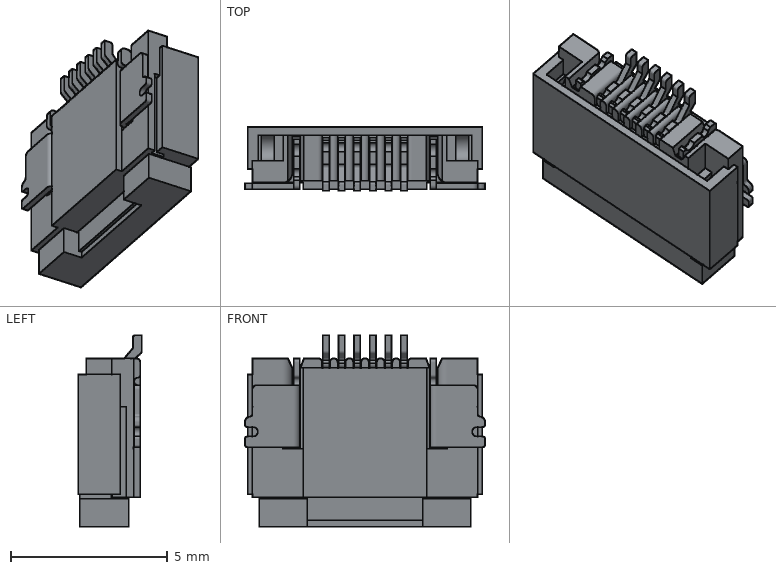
import cadquery as cq


COVER_HALF = 3.765
COVER_WALL = 0.345
COVER_FRONT = 0.65
COVER_BACK = 2.0
COVER_INNER_BACK = 1.74
COVER_BOTTOM = 1.045
COVER_TOP = 4.89
CAVITY_HALF = COVER_HALF - COVER_WALL

HOUSING_HALF = 3.61
HOUSING_FRONT = 0.215
HOUSING_BOTTOM = 0.947
HOUSING_TOP = 5.405
FLOOR_BACK = 0.905
PANEL_HALF = 1.985
PANEL_TOP = 5.10
PANEL_BACK = 0.285
BLOCK_HALF = 2.07
BLOCK_TOP_HALF = 1.96
GROOVE_TOP = 3.85
GROOVE_FRONT = 0.46

GAP_FLOOR = 2.506
GAP_OUTER = 2.33
GAP_TOP_OUTER = 2.47
GAP_BACK = 1.69
WING_ROUND = 0.31

POCKET_INNER = 2.625
POCKET_FRONT = 0.92
POCKET_FLOOR = 4.2
TROUGH_INNER = 2.91
TROUGH_OUTER = 3.32

FINGER_PEAK = 5.34
HUMP_TOP = 5.31
VALLEY = 5.17

PIN_COUNT = 6
PIN_PITCH = 0.5
PIN_WIDTH = 0.21
PIN_FRONT = -0.05
PIN_THICKNESS = 0.295
PIN_TOP = 6.15
PIN_BACK = 1.65
COMB_SLOT = 0.245
COMB_ROUND = (PIN_PITCH - COMB_SLOT) / 2
COMB_FLOOR = 4.9
PIN_TIP_ROUND = 0.09
PIN_HEEL_TOP = 5.26

LEG_FOOT = (0.63, 5.27)
LEG_FOOT_MIDDLE = (0.74, 5.22)
LEG_BACK_BEND = (PIN_FRONT + PIN_THICKNESS, 5.73)
LEG_FRONT_BEND = (PIN_FRONT, 5.64)
LEG_FRONT_MIDDLE = (-0.04, 5.6)
LEG_SLOPE_TOP = (-0.01, 5.56)
LEG_SLOPE_END = (0.13, 5.43)
NUB_HOLLOW = (0.175, 5.38)
NUB_TOP = (0.18, 5.335)
NUB_FRONT = (0.125, 5.24)
NUB_UNDERSIDE = (0.14, 5.15)
NUB_ROOT = (0.2, PANEL_TOP)

PIN_FINGER_BACK = 1.57
PIN_FINGER_FRONT = 1.49
PIN_VALLEY = 1.36
PIN_HUMP_BACK = 1.21
PIN_HUMP_FRONT = 0.81

CLIP_INNER = 2.09
CLIP_THICKNESS = 0.2
CLIP_OUTER = CLIP_INNER + CLIP_THICKNESS
CLIP_FOOT_FRONT = 0.35
CLIP_BACK = 1.6
TAB_BOTTOM = 2.552
TAB_TOP = 4.548
TAB_END = 3.85
TAB_CORNER = 0.15
PRONG_ROUND = 0.08
UPPER_PRONG_TOP = 3.53
UPPER_PRONG_ROUND = 0.17
SHOULDER_WIDTH = 0.1
SHOULDER_HEIGHT = 0.09
NOTCH_CENTER_Z = 3.05
NOTCH_RADIUS = 0.15
NOTCH_CENTER_X = 3.585
FINGER_ROUND = 0.135
RELIEF_HEIGHT = 0.33
RELIEF_TOP = TAB_TOP + RELIEF_HEIGHT
RELIEF_DEPTH = 0.2
RELIEF_ROUND = RELIEF_DEPTH / 2

CLIP_FINGER_FRONT = 1.45
CLIP_REAR_VALLEY = 1.3
CLIP_HUMP_BACK = 1.07
CLIP_HUMP_FRONT = 0.66
CLIP_FRONT_VALLEY = 0.56
CLIP_NOSE_FOOT = 0.40
CLIP_NOSE_BACK = 0.287

LUG_HALF = 3.395
LUG_INNER = 1.845
LUG_FRONT = 0.37
LUG_TOP = 0.905
BAR_BACK = 1.95
BAR_FRONT = 0.93
LIP_HEIGHT = 0.21
LIP_SETBACK = 0.1
NECK_HALF = 2.915


def box(x0, x1, y0, y1, z0, z1):
    return cq.Workplane("XY").box(x1 - x0, y1 - y0, z1 - z0, centered=False).translate((x0, y0, z0))


def centred_box(half, y0, y1, z0, z1):
    return box(-half, half, y0, y1, z0, z1)


def both_sides(shape):
    return shape.union(shape.mirror("YZ"))


def make_cover():
    shell = centred_box(COVER_HALF, COVER_FRONT, COVER_BACK, COVER_BOTTOM, COVER_TOP)
    return shell.cut(centred_box(CAVITY_HALF, COVER_FRONT, COVER_INNER_BACK, COVER_BOTTOM, COVER_TOP))


def clip_gap():
    """Space beside the middle block: round-edged plan, flaring open at the top."""
    step = BLOCK_HALF - PANEL_HALF
    plan = (
        cq.Workplane("XY")
        .moveTo(PANEL_HALF, 0)
        .lineTo(PANEL_HALF, PANEL_BACK - step)
        .radiusArc((BLOCK_HALF, PANEL_BACK), step)
        .lineTo(BLOCK_HALF, GAP_BACK)
        .lineTo(GAP_OUTER, GAP_BACK)
        .lineTo(GAP_OUTER, HOUSING_FRONT + WING_ROUND)
        .radiusArc((GAP_OUTER + WING_ROUND, HOUSING_FRONT), -WING_ROUND)
        .lineTo(GAP_OUTER + WING_ROUND, 0)
        .close()
        .extrude(HOUSING_TOP - GAP_FLOOR)
        .translate((0, 0, GAP_FLOOR))
    )
    flare = (
        cq.Workplane("XZ")
        .polyline([
            (BLOCK_HALF, PANEL_TOP),
            (GAP_OUTER, PANEL_TOP),
            (GAP_TOP_OUTER, HOUSING_TOP),
            (BLOCK_TOP_HALF, HOUSING_TOP),
        ])
        .close()
        .extrude(-COVER_INNER_BACK)
    )
    return plan.union(flare)


def side_pocket():
    pocket = box(POCKET_INNER, CAVITY_HALF, POCKET_FRONT, COVER_INNER_BACK, POCKET_FLOOR, HOUSING_TOP)
    radius = (COVER_INNER_BACK - POCKET_FRONT) / 2
    trough = (
        cq.Workplane("YZ")
        .center(POCKET_FRONT + radius, POCKET_FLOOR)
        .circle(radius)
        .extrude(TROUGH_OUTER - TROUGH_INNER)
        .translate((TROUGH_INNER, 0, 0))
    )
    return pocket.union(trough)


def pin_positions():
    first = -PIN_PITCH * (PIN_COUNT - 1) / 2
    return [first + i * PIN_PITCH for i in range(PIN_COUNT)]


def comb_slot():
    """Slot for one contact, with rounded tooth edges at its mouth."""
    half = COMB_SLOT / 2
    return (
        cq.Workplane("XZ")
        .moveTo(-half, COMB_FLOOR)
        .lineTo(half, COMB_FLOOR)
        .lineTo(half, HOUSING_TOP - COMB_ROUND)
        .radiusArc((half + COMB_ROUND, HOUSING_TOP), COMB_ROUND)
        .lineTo(-half - COMB_ROUND, HOUSING_TOP)
        .radiusArc((-half, HOUSING_TOP - COMB_ROUND), COMB_ROUND)
        .close()
        .extrude(-(COVER_INNER_BACK - PANEL_BACK))
        .translate((0, PANEL_BACK, 0))
    )


def make_housing():
    body = centred_box(HOUSING_HALF, HOUSING_FRONT, COVER_FRONT, HOUSING_BOTTOM, HOUSING_TOP)
    body = body.union(
        centred_box(CAVITY_HALF, COVER_FRONT, COVER_INNER_BACK, COVER_BOTTOM, COVER_TOP)
    )
    body = body.union(
        centred_box(CAVITY_HALF, COVER_FRONT, FLOOR_BACK, HOUSING_BOTTOM, COVER_BOTTOM)
    )
    body = body.union(
        centred_box(HOUSING_HALF, COVER_FRONT, COVER_INNER_BACK, COVER_TOP, HOUSING_TOP)
    )
    body = body.cut(both_sides(
        box(CAVITY_HALF, HOUSING_HALF, POCKET_FRONT, COVER_INNER_BACK, COVER_TOP, HOUSING_TOP)
    ))
    body = body.cut(centred_box(BLOCK_HALF, HOUSING_FRONT, PANEL_BACK, PANEL_TOP, HOUSING_TOP))
    body = body.union(centred_box(PANEL_HALF, 0, HOUSING_FRONT, HOUSING_BOTTOM, PANEL_TOP))
    body = body.cut(both_sides(clip_gap()))
    body = body.cut(both_sides(side_pocket()))
    body = body.cut(both_sides(
        box(CAVITY_HALF, HOUSING_HALF, GROOVE_FRONT, COVER_FRONT, HOUSING_BOTTOM, GROOVE_TOP)
    ))
    for x in pin_positions():
        body = body.cut(comb_slot().translate((x, 0, 0)))
    return body


def make_pin():
    """Contact blade: spring finger, middle hump, sloping leg and a small nub over the panel."""
    blade = (
        cq.Workplane("YZ")
        .moveTo(PIN_BACK, COMB_FLOOR)
        .lineTo(PIN_BACK, PIN_HEEL_TOP)
        .lineTo(PIN_FINGER_BACK, FINGER_PEAK)
        .lineTo(PIN_FINGER_FRONT, FINGER_PEAK)
        .threePointArc((PIN_VALLEY, VALLEY), (PIN_HUMP_BACK, HUMP_TOP))
        .lineTo(PIN_HUMP_FRONT, HUMP_TOP)
        .threePointArc(LEG_FOOT_MIDDLE, LEG_FOOT)
        .lineTo(*LEG_BACK_BEND)
        .lineTo(LEG_BACK_BEND[0], PIN_TOP)
        .lineTo(PIN_FRONT, PIN_TOP)
        .lineTo(*LEG_FRONT_BEND)
        .threePointArc(LEG_FRONT_MIDDLE, LEG_SLOPE_TOP)
        .lineTo(*LEG_SLOPE_END)
        .threePointArc(NUB_HOLLOW, NUB_TOP)
        .lineTo(*NUB_FRONT)
        .threePointArc(NUB_UNDERSIDE, NUB_ROOT)
        .lineTo(PANEL_BACK, PANEL_TOP)
        .lineTo(PANEL_BACK, COMB_FLOOR)
        .close()
        .extrude(PIN_WIDTH / 2, both=True)
    )
    return blade.faces(">Z").edges(">Y").fillet(PIN_TIP_ROUND)


def clip_blade():
    """Upright clip plate, relieved at the front between its finger and the solder tab."""
    return (
        cq.Workplane("YZ")
        .moveTo(0, TAB_BOTTOM)
        .lineTo(0, TAB_TOP)
        .lineTo(RELIEF_ROUND, TAB_TOP)
        .radiusArc((RELIEF_DEPTH, TAB_TOP + RELIEF_ROUND), -RELIEF_ROUND)
        .lineTo(RELIEF_DEPTH, RELIEF_TOP - 2 * RELIEF_ROUND)
        .radiusArc((RELIEF_ROUND, RELIEF_TOP - RELIEF_ROUND), -RELIEF_ROUND)
        .radiusArc((0, RELIEF_TOP), RELIEF_ROUND)
        .lineTo(0, HOUSING_TOP - FINGER_ROUND)
        .radiusArc((FINGER_ROUND, HOUSING_TOP), FINGER_ROUND)
        .lineTo(CLIP_NOSE_BACK, HOUSING_TOP)
        .lineTo(CLIP_NOSE_FOOT, HUMP_TOP)
        .threePointArc((CLIP_FRONT_VALLEY, VALLEY), (CLIP_HUMP_FRONT, HUMP_TOP))
        .lineTo(CLIP_HUMP_BACK, HUMP_TOP)
        .threePointArc((CLIP_REAR_VALLEY, VALLEY), (CLIP_FINGER_FRONT, FINGER_PEAK))
        .lineTo(CLIP_BACK, FINGER_PEAK)
        .lineTo(CLIP_BACK, GAP_FLOOR)
        .lineTo(CLIP_FOOT_FRONT, GAP_FLOOR)
        .lineTo(CLIP_FOOT_FRONT, TAB_BOTTOM)
        .close()
        .extrude(CLIP_THICKNESS)
        .translate((CLIP_INNER, 0, 0))
    )


def solder_tab():
    """Flat tab with two rounded prongs and a round-ended notch between them."""
    step_x = HOUSING_HALF + SHOULDER_WIDTH
    notch_low = NOTCH_CENTER_Z - NOTCH_RADIUS
    notch_high = NOTCH_CENTER_Z + NOTCH_RADIUS
    tip = TAB_END - PRONG_ROUND
    return (
        cq.Workplane("XZ")
        .moveTo(CLIP_INNER, TAB_BOTTOM)
        .lineTo(tip, TAB_BOTTOM)
        .radiusArc((TAB_END, TAB_BOTTOM + PRONG_ROUND), -PRONG_ROUND)
        .lineTo(TAB_END, notch_low - PRONG_ROUND)
        .radiusArc((tip, notch_low), -PRONG_ROUND)
        .lineTo(NOTCH_CENTER_X, notch_low)
        .radiusArc((NOTCH_CENTER_X, notch_high), NOTCH_RADIUS)
        .lineTo(tip, notch_high)
        .radiusArc((TAB_END, notch_high + PRONG_ROUND), -PRONG_ROUND)
        .lineTo(TAB_END, UPPER_PRONG_TOP - UPPER_PRONG_ROUND)
        .radiusArc((step_x, UPPER_PRONG_TOP), -UPPER_PRONG_ROUND)
        .radiusArc((HOUSING_HALF, UPPER_PRONG_TOP + SHOULDER_HEIGHT), SHOULDER_WIDTH)
        .lineTo(HOUSING_HALF, TAB_TOP - TAB_CORNER)
        .radiusArc((HOUSING_HALF - TAB_CORNER, TAB_TOP), -TAB_CORNER)
        .lineTo(CLIP_INNER, TAB_TOP)
        .close()
        .extrude(-CLIP_THICKNESS)
    )


def make_clip():
    bend = box(CLIP_INNER, CLIP_OUTER, 0, CLIP_THICKNESS, TAB_BOTTOM, TAB_TOP)
    bend_corner = bend.cut(
        cq.Workplane("XY")
        .center(CLIP_OUTER, CLIP_THICKNESS)
        .circle(CLIP_THICKNESS)
        .extrude(PIN_TOP)
    )
    return clip_blade().union(solder_tab()).cut(bend_corner)


def make_actuator():
    """Cross bar with a lug at each end and a narrower neck up into the housing."""
    bar = centred_box(LUG_INNER, BAR_FRONT, BAR_BACK, 0, LUG_TOP)
    bar = bar.cut(centred_box(LUG_INNER, BAR_FRONT, BAR_FRONT + LIP_SETBACK, 0, LIP_HEIGHT))
    lugs = both_sides(box(LUG_INNER, LUG_HALF, LUG_FRONT, BAR_BACK, 0, LUG_TOP))
    neck = centred_box(NECK_HALF, BAR_FRONT, BAR_BACK, LUG_TOP, COVER_BOTTOM)
    return bar.union(lugs).union(neck)


result = make_cover().union(make_housing()).union(make_actuator()).union(both_sides(make_clip()))
for pin_x in pin_positions():
    result = result.union(make_pin().translate((pin_x, 0, 0)))